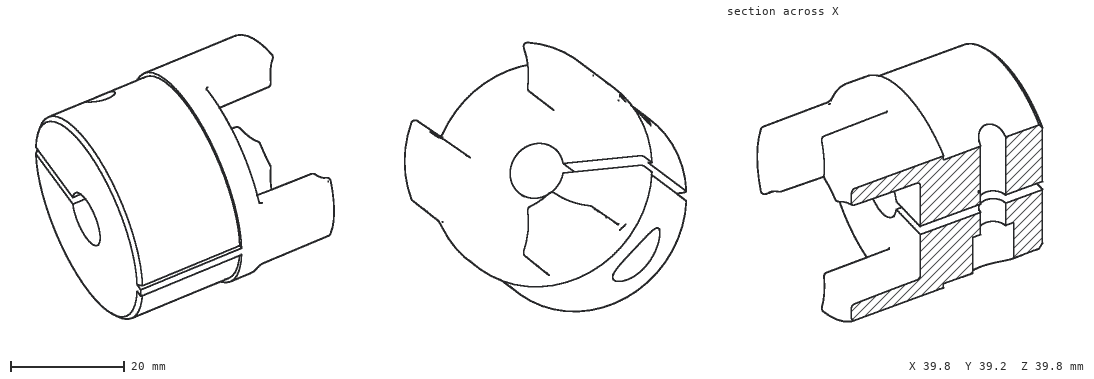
import cadquery as cq
import math

hub_radius = 19.2
hub_length = 20.3
hub_chamfer = 0.7
flange_radius = 19.9
flange_length = 4.8
floor_position = hub_length + flange_length
total_length = 39.22
jaw_length = total_length - floor_position
bore_diameter = 10.02

slot_width = 1.75
rib_width = slot_width

jaw_count = 3
jaw_inner_radius = 11.15
rib_jaw_inner_radius = 12.37
jaw_stock_radius = 10.62
jaw_inner_angle = 14.6
jaw_outer_angle = 24.9
jaw_side_sag = 0.75
jaw_draft = 1.0
edge_radius = 0.7
jaw_stock_overhang = 3.6
jaw_stock_flare = 2.15
floor_tolerance = 0.05

screw_offset = -13.2
screw_position = 10.15
screw_hole_diameter = 5.1
screw_head_diameter = 8.3
screw_seat_height = -5.95


def axial_plane(position):
    """Plane across the coupling axis, facing +Y."""
    return cq.Workplane(cq.Plane((0, position, 0), (1, 0, 0), (0, 1, 0)))


def polar(radius, degrees):
    angle = math.radians(degrees)
    return radius * math.cos(angle), radius * math.sin(angle)


def make_jaw(inner_radius):
    """Jaw centred on +X, rounded along its sides and tip."""
    inner = polar(jaw_stock_radius, jaw_inner_angle)
    outer = polar(flange_radius, jaw_outer_angle)
    run, rise = outer[0] - inner[0], outer[1] - inner[1]
    chord = math.hypot(run, rise)
    middle = (
        (inner[0] + outer[0]) / 2 + jaw_side_sag * rise / chord,
        (inner[1] + outer[1]) / 2 - jaw_side_sag * run / chord,
    )
    overhang = (flange_radius + jaw_stock_overhang, outer[1] + jaw_stock_flare)
    jaw = (
        axial_plane(floor_position)
        .moveTo(inner[0], -inner[1])
        .threePointArc((jaw_stock_radius, 0), inner)
        .threePointArc(middle, outer)
        .lineTo(*overhang)
        .lineTo(overhang[0], -overhang[1])
        .lineTo(outer[0], -outer[1])
        .threePointArc((middle[0], -middle[1]), (inner[0], -inner[1]))
        .close()
        .extrude(jaw_length, taper=jaw_draft)
    )
    ring = (
        axial_plane(floor_position)
        .circle(flange_radius)
        .circle(inner_radius)
        .extrude(jaw_length)
    )
    jaw = jaw.intersect(ring)
    return jaw.edges("not <Y").fillet(edge_radius)


def make_body():
    """Hub and flange with the jaws blended into the flange floor."""
    hub = axial_plane(0).circle(hub_radius).extrude(hub_length).faces("<Y").chamfer(hub_chamfer)
    body = hub.union(axial_plane(hub_length).circle(flange_radius).extrude(flange_length))
    for index in range(jaw_count):
        jaw = make_jaw(rib_jaw_inner_radius if index == 0 else jaw_inner_radius)
        body = body.union(jaw.rotate((0, 0, 0), (0, 1, 0), index * 360 / jaw_count))
    reach = 2 * flange_radius
    floor = cq.selectors.BoxSelector(
        (-reach, floor_position - floor_tolerance, -reach),
        (reach, floor_position + floor_tolerance, reach),
        boundingbox=True,
    )
    return body.edges(floor).fillet(edge_radius)


def make_rib():
    """Locating rib along the hub, flush with the flange radius."""
    strip = axial_plane(0).center(flange_radius / 2, 0).rect(flange_radius, rib_width).extrude(hub_length)
    rim = axial_plane(0).circle(flange_radius).circle(jaw_inner_radius).extrude(hub_length)
    return strip.intersect(rim)


def make_screw_hole():
    """Clamp screw hole along Z, with its head pocket open at the bottom."""
    section = cq.Workplane("XY").center(screw_offset, screw_position)
    hole = section.circle(screw_hole_diameter / 2).extrude(flange_radius, both=True)
    pocket = (
        section.workplane(offset=screw_seat_height)
        .circle(screw_head_diameter / 2)
        .extrude(-flange_radius)
    )
    return hole.union(pocket)


bore = axial_plane(0).circle(bore_diameter / 2).extrude(total_length)
slot = (
    axial_plane(0)
    .center(-flange_radius / 2, 0)
    .rect(flange_radius, slot_width)
    .extrude(total_length)
)

result = make_body().union(make_rib()).cut(bore).cut(slot).cut(make_screw_hole())